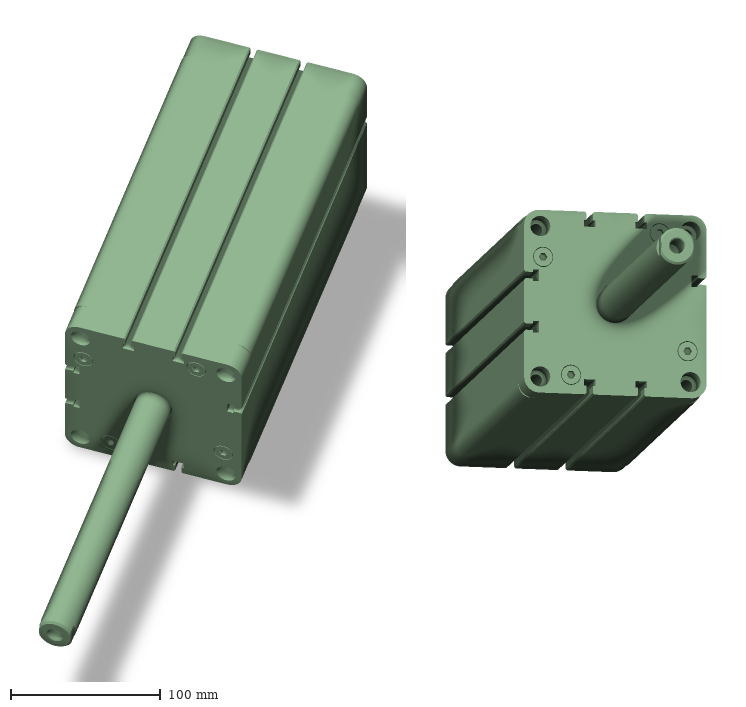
import cadquery as cq

total_length = 486.5
body_side = 124.0
body_length = 267.0
cap_length = 19.0
cap_corner_radius = 10.0
barrel_corner_radius = 9.0

slot_offset = 17.5
slot_neck_width = 4.5
slot_neck_depth = 6.0
slot_depth = 10.0
slot_head_width = 8.0
slot_mouth_chamfer = 1.0

corner_hole_offset = 51.0
corner_hole_diameter = 8.5
corner_bore_diameter = 13.5
corner_bore_depth = 14.5

screw_long_offset = 49.0
screw_short_offset = 30.0
screw_recess_diameter = 13.5
screw_head_diameter = 12.5
screw_recess_depth = 8.0
screw_socket_diameter = 6.0
screw_socket_depth = 4.0

rod_diameter = 25.0
rod_rear_length = 9.2
rod_front_length = total_length - body_length - rod_rear_length
rod_chamfer = 1.5
rod_flat_spacing = 22.0
rod_flat_length = 7.5
rod_seat_diameter = 27.0
rod_seat_depth = 2.5
thread_diameter = 10.0
thread_mouth_diameter = 11.5
thread_depth = 22.0
drill_tip_depth = 3.0

half_side = body_side / 2
rod_front_y = -rod_front_length
rod_rear_y = body_length + rod_rear_length


def section_plane(y):
    """Plane across the axis: local x is X, local y is Z, and its normal points to -Y."""
    return cq.Workplane("XZ", origin=(0, y, 0))


def body_section(start_y, length, corner_radius):
    """Square length of body with rounded long edges."""
    return (
        section_plane(start_y)
        .rect(body_side, body_side)
        .extrude(-length)
        .edges("|Y")
        .fillet(corner_radius)
    )


def t_slot(side_angle, offset):
    """T-slot cutter for the +Z side, shifted along X and then turned about the body axis."""
    half_neck = slot_neck_width / 2
    half_head = slot_head_width / 2
    right_half = [
        (half_neck + slot_mouth_chamfer, 0),
        (half_neck, -slot_mouth_chamfer),
        (half_neck, -slot_neck_depth),
        (half_head, -slot_neck_depth),
        (half_head, -slot_depth),
    ]
    left_half = [(-x, z) for x, z in reversed(right_half)]
    return (
        section_plane(0)
        .center(offset, half_side)
        .polyline(right_half + left_half)
        .close()
        .extrude(-body_length)
        .rotate((0, 0, 0), (0, 1, 0), side_angle)
    )


def make_body():
    barrel_length = body_length - 2 * cap_length
    rear_cap_y = body_length - cap_length
    body = body_section(0, cap_length, cap_corner_radius)
    body = body.union(body_section(cap_length, barrel_length, barrel_corner_radius))
    body = body.union(body_section(rear_cap_y, cap_length, cap_corner_radius))

    slots = [
        (0, -slot_offset),
        (0, slot_offset),
        (90, -slot_offset),
        (180, -slot_offset),
        (180, slot_offset),
        (270, -slot_offset),
        (270, slot_offset),
    ]
    for side_angle, offset in slots:
        body = body.cut(t_slot(side_angle, offset))
    return body


def cut_corner_holes(body):
    spacing = 2 * corner_hole_offset
    holes = section_plane(0).rect(spacing, spacing, forConstruction=True).vertices()
    through_holes = holes.circle(corner_hole_diameter / 2).extrude(-body_length)
    counterbores = holes.circle(corner_bore_diameter / 2).extrude(-corner_bore_depth)
    return body.cut(through_holes).cut(counterbores)


def add_cap_screws(body):
    """Four socket screws, each a quarter turn from the last."""
    centers = section_plane(0).pushPoints([
        (screw_short_offset, screw_long_offset),
        (-screw_long_offset, screw_short_offset),
        (-screw_short_offset, -screw_long_offset),
        (screw_long_offset, -screw_short_offset),
    ])
    recesses = centers.circle(screw_recess_diameter / 2).extrude(-screw_recess_depth)
    heads = centers.circle(screw_head_diameter / 2).extrude(-screw_recess_depth)
    sockets = centers.polygon(6, screw_socket_diameter).extrude(-screw_socket_depth)
    return body.cut(recesses).union(heads).cut(sockets)


def rod_flat_cutter(end_y, inward, side):
    """Cutter for one wrench flat at a rod end, with a 45 degree run-out.

    inward is the Y direction (-1 or 1) into the rod; side is the X side (-1 or 1).
    """
    flat_x = side * rod_flat_spacing / 2
    outer_x = side * rod_diameter / 2
    cut_depth = (rod_diameter - rod_flat_spacing) / 2
    return (
        cq.Workplane("XY")
        .polyline([
            (flat_x, end_y),
            (flat_x, end_y + inward * rod_flat_length),
            (outer_x, end_y + inward * (rod_flat_length + cut_depth)),
            (outer_x, end_y),
        ])
        .close()
        .extrude(rod_diameter / 2, both=True)
    )


def make_rod():
    rod = (
        section_plane(rod_front_y)
        .circle(rod_diameter / 2)
        .extrude(-total_length)
        .faces("<Y or >Y")
        .chamfer(rod_chamfer)
    )
    for end_y, inward in ((rod_front_y, 1), (rod_rear_y, -1)):
        for side in (-1, 1):
            rod = rod.cut(rod_flat_cutter(end_y, inward, side))
    return rod.cut(thread_hole_cutter())


def thread_hole_cutter():
    """Blind hole in the front rod end with a chamfered mouth and a conical bottom."""
    thread_radius = thread_diameter / 2
    mouth_radius = thread_mouth_diameter / 2
    mouth_depth = mouth_radius - thread_radius
    return (
        cq.Workplane("XY", origin=(0, rod_front_y, 0))
        .polyline([
            (0, 0),
            (mouth_radius, 0),
            (thread_radius, mouth_depth),
            (thread_radius, thread_depth),
            (0, thread_depth + drill_tip_depth),
        ])
        .close()
        .revolve(360, (0, 0, 0), (0, 1, 0))
    )


body = add_cap_screws(cut_corner_holes(make_body()))
rod_seat = section_plane(0).circle(rod_seat_diameter / 2).extrude(-rod_seat_depth)
result = body.cut(rod_seat).union(make_rod())